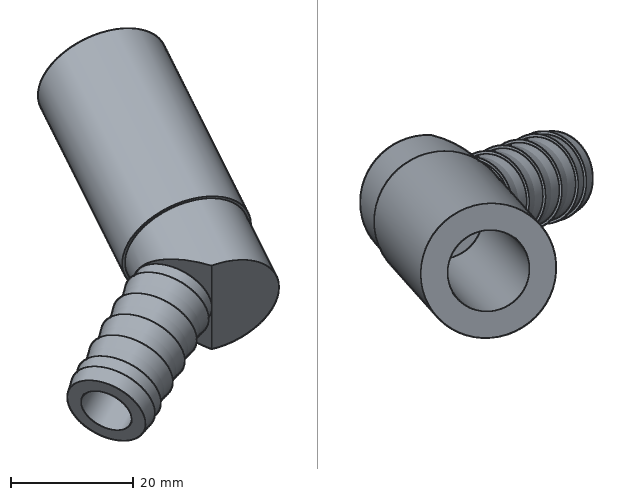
import cadquery as cq
import math

overall_length = 71.1

sleeve_diameter = 22.6
sleeve_length = 38.1
spigot_diameter = 21.6
spigot_end = 52.05

socket_diameter = 13.65
socket_depth = sleeve_length
bore_diameter = 9.0

bend_angle = 45.0
tail_start = 8.4
tail_diameter = 14.0
barb_diameter = 15.0
barb_count = 5
barb_length = 2.4
barb_pitch = 2 * barb_length
tip_barb_length = 2.7
tail_length = barb_count * barb_pitch + tip_barb_length
tail_end = tail_start + tail_length

bend_radians = math.radians(bend_angle)
tail_direction = cq.Vector(math.cos(bend_radians), -math.sin(bend_radians), 0)
tip_corner_x = tail_end * math.cos(bend_radians) + tail_diameter / 2 * math.sin(bend_radians)
bend_x = overall_length - tip_corner_x

tail_plane = cq.Plane(origin=(bend_x, 0, 0), xDir=(0, 0, 1), normal=tail_direction)


def cylinder_x(diameter, start, end):
    """Cylinder on the X axis between two X positions."""
    return cq.Workplane("YZ", origin=(start, 0, 0)).circle(diameter / 2).extrude(end - start)


def tail_cylinder(diameter, start, end):
    """Cylinder on the tail axis between two distances from the bend."""
    return cq.Workplane(tail_plane).workplane(offset=start).circle(diameter / 2).extrude(end - start)


def barb(start, length):
    """Cone with a sharp step facing the body, narrowing to the tail towards the tip."""
    return (
        cq.Workplane(tail_plane)
        .workplane(offset=start)
        .circle(barb_diameter / 2)
        .workplane(offset=length)
        .circle(tail_diameter / 2)
        .loft(ruled=True)
    )


body = cylinder_x(sleeve_diameter, 0, sleeve_length)
body = body.union(cylinder_x(spigot_diameter, sleeve_length, spigot_end))
slant_cutter_diameter = 4 * spigot_diameter
slant_cutter = tail_cylinder(slant_cutter_diameter, tail_start, tail_end)
body = body.cut(slant_cutter)

tail = tail_cylinder(tail_diameter, tail_start, tail_end)
for index in range(barb_count):
    tail = tail.union(barb(tail_start + barb_length + index * barb_pitch, barb_length))
tail = tail.union(barb(tail_end - tip_barb_length, tip_barb_length))

socket = cylinder_x(socket_diameter, 0, socket_depth)
bore_path = (
    cq.Workplane("XY")
    .moveTo(0, 0)
    .lineTo(bend_x, 0)
    .lineTo(bend_x + tail_end * tail_direction.x, tail_end * tail_direction.y)
)
bore = cq.Workplane("YZ").circle(bore_diameter / 2).sweep(bore_path, transition="right")

result = body.union(tail).cut(socket).cut(bore)